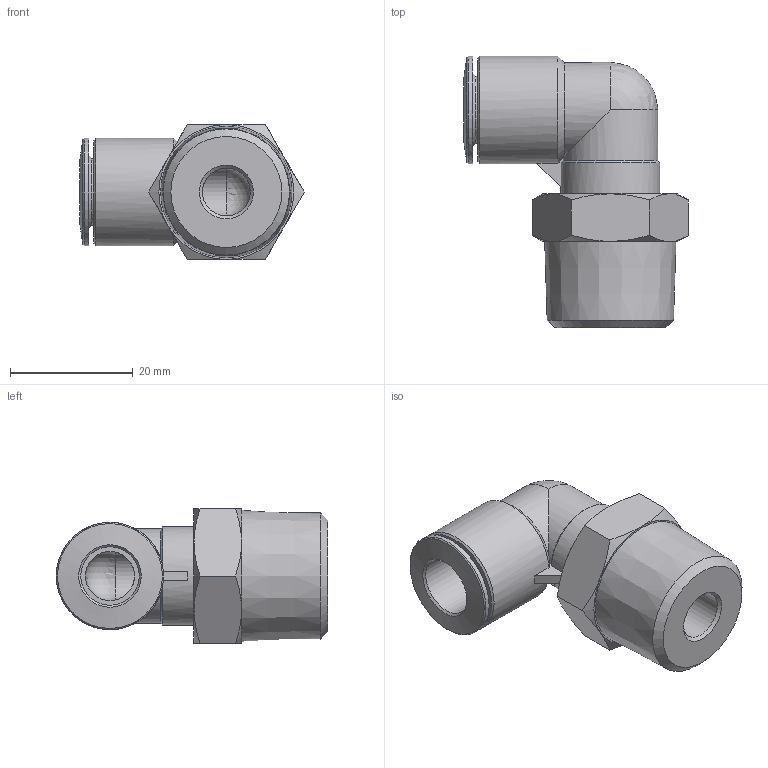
import cadquery as cq
import math


elbow_radius = 15.5 / 2
collar_radius = 16.1 / 2
collar_chamfer = collar_radius - elbow_radius
collar_start = 8.3

sleeve_radius = 17.5 / 2
sleeve_cone_start = 7.5
sleeve_cone_length = 1.1
sleeve_end = 21.6
sleeve_mouth_chamfer = 0.3

neck_radius = 10.93 / 2
neck_flare = 0.5
ring_inner_face = 22.45
ring_rim_end = 23.4
ring_rim_chamfer = 0.2
ring_end = 23.9
ring_face_radius = 10.2 / 2

hex_across_flats = 22.0
hex_across_corners = hex_across_flats / math.cos(math.radians(30))
hex_start = 13.7
hex_end = 21.45
hex_chamfer_angle = 30.0

stud_end = 35.5
stud_chamfer_length = 1.2
stud_tip_radius = 10.3
stud_face_radius = 9.05
stud_taper = 1 / 16

tube_radius = 9.53 / 2
tube_stop = sleeve_cone_start
socket_bore_radius = 8.0 / 2
stud_bore_radius = 7.8 / 2
stud_bore_chamfer = 0.5

gusset_thickness = 1.5
gusset_offset = 20.7
gusset_root = 6.5


def turned_along_x(profile):
    """Revolve (distance towards -X, radius) points about the X axis."""
    points = [(-distance, radius) for distance, radius in profile]
    return cq.Workplane("XY").polyline(points).close().revolve(360, (0, 0), (1, 0))


def turned_along_y(profile):
    """Revolve (distance towards -Y, radius) points about the Y axis."""
    points = [(radius, -distance) for distance, radius in profile]
    return cq.Workplane("XY").polyline(points).close().revolve(360, (0, 0), (0, 1))


def make_elbow():
    socket_leg = turned_along_x([
        (0, 0),
        (0, elbow_radius),
        (sleeve_cone_start, elbow_radius),
        (sleeve_cone_start, 0),
    ])
    stud_leg = turned_along_y([
        (0, 0),
        (0, elbow_radius),
        (collar_start, elbow_radius),
        (collar_start + collar_chamfer, collar_radius),
        (hex_start, collar_radius),
        (hex_start, 0),
    ])
    corner = cq.Workplane("XY").sphere(elbow_radius)
    return corner.union(socket_leg).union(stud_leg)


def make_sleeve():
    sleeve = turned_along_x([
        (sleeve_cone_start, 0),
        (sleeve_cone_start, elbow_radius),
        (sleeve_cone_start + sleeve_cone_length, sleeve_radius),
        (sleeve_end, sleeve_radius),
        (sleeve_end, 0),
    ])
    return sleeve.faces("<X").edges().chamfer(sleeve_mouth_chamfer)


def make_release_ring():
    return turned_along_x([
        (sleeve_end, 0),
        (sleeve_end, neck_radius),
        (ring_inner_face - neck_flare, neck_radius),
        (ring_inner_face, neck_radius + neck_flare),
        (ring_inner_face, sleeve_radius),
        (ring_rim_end - ring_rim_chamfer, sleeve_radius),
        (ring_rim_end, sleeve_radius - ring_rim_chamfer),
        (ring_end, ring_face_radius),
        (ring_end, 0),
    ])


def make_hexagon():
    prism = (
        cq.Workplane("XZ")
        .workplane(offset=hex_start)
        .polygon(6, hex_across_corners)
        .extrude(hex_end - hex_start)
    )
    face_radius = hex_across_flats / 2
    corner_radius = hex_across_corners / 2
    drop = (corner_radius - face_radius) * math.tan(math.radians(hex_chamfer_angle))
    envelope = turned_along_y([
        (hex_start, 0),
        (hex_start, face_radius),
        (hex_start + drop, corner_radius),
        (hex_end - drop, corner_radius),
        (hex_end, face_radius),
        (hex_end, 0),
    ])
    return prism.intersect(envelope)


def make_stud():
    taper_end = stud_end - stud_chamfer_length
    root_radius = stud_tip_radius + (taper_end - hex_end) * stud_taper / 2
    return turned_along_y([
        (hex_end, 0),
        (hex_end, root_radius),
        (taper_end, stud_tip_radius),
        (stud_end, stud_face_radius),
        (stud_end, 0),
    ])


def make_gusset():
    return (
        cq.Workplane("XY")
        .polyline([
            (gusset_root - gusset_offset, -gusset_root),
            (-gusset_root, -gusset_root),
            (-gusset_root, gusset_root - gusset_offset),
        ])
        .close()
        .extrude(gusset_thickness / 2, both=True)
    )


def make_bores():
    socket_bore = turned_along_x([
        (0, 0),
        (0, socket_bore_radius),
        (tube_stop, socket_bore_radius),
        (tube_stop, tube_radius),
        (ring_end - (ring_face_radius - tube_radius), tube_radius),
        (ring_end, ring_face_radius),
        (ring_end, 0),
    ])
    stud_bore = turned_along_y([
        (0, 0),
        (0, stud_bore_radius),
        (stud_end - stud_bore_chamfer, stud_bore_radius),
        (stud_end, stud_bore_radius + stud_bore_chamfer),
        (stud_end, 0),
    ])
    corner = cq.Workplane("XY").sphere(socket_bore_radius)
    return corner.union(socket_bore).union(stud_bore)


body = make_elbow().union(make_sleeve()).union(make_release_ring())
body = body.union(make_gusset()).union(make_hexagon()).union(make_stud())
result = body.cut(make_bores())